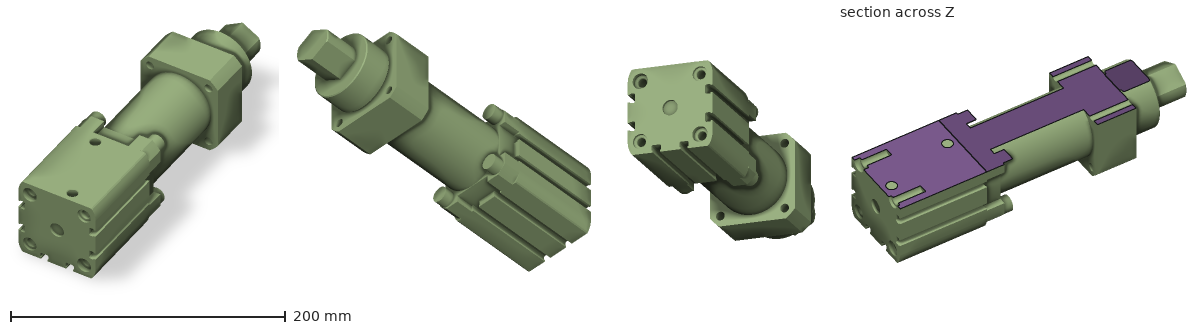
import cadquery as cq
import math


LENGTH = 258.0
SIDE = 66.0
HALF_SIDE = SIDE / 2
BOLT_OFFSET = 25.0

BLOCK_END = 75.0
REAR_FLANGE_END = 90.0
HEAD_END = 98.5
FRONT_FLANGE_START = 170.0
FRONT_FLANGE_END = 203.5
COLLAR_START = 204.5
COLLAR_END = 228.3

BLOCK_FLAT = 23.0
CORNER_RADIUS = 16.8
CORNER_X = 30.2
TOP_FLAT = 29.2
SLOT_OFFSET = 10.8
SLOT_MOUTH = 5.7
SLOT_WIDTH = 7.2
SLOT_LIP = 1.5
SLOT_DEPTH = 5.7
SLOT_CHAMFER = 0.8
TIE_OFFSET = 23.2
COUNTERBORE_RADIUS = 6.0
COUNTERBORE_DEPTH = 4.5
SPOTFACE_RADIUS = 5.7
SPOTFACE_DEPTH = 2.0
TIE_HOLE_RADIUS = 3.4
TIE_HOLE_CHAMFER = 0.5
TIE_HOLE_DEPTH = 25.8
END_RECESS_RADIUS = 6.0
END_RECESS_DEPTH = 2.3
PORT_X = 8.3
PORT_INSET = 8.3
PORT_RADIUS = 4.0
PORT_CHAMFER = 0.5
PORT_CHAMFER_ANGLE = 90.0
PORT_DEPTH = 10.3

TUBE_RADIUS = 27.0
FLANGE_CORNER_RADIUS = 42.0
LUG_INNER = 15.2
WAIST = 27.3
HEAD_RADIUS = 6.5
FLANGE_HOLE_RADIUS = 3.4

COLLAR_RADIUS = 26.8
COLLAR_CHAMFER = 0.8
NECK_RADIUS = 25.5
TIP_RADIUS = 16.0
TIP_FLAT_ANGLE = 30.0
TIP_APEX = 14.5
TIP_CHAMFER = 0.8


def section(start):
    """Workplane across the axis at Y = start: local x is -X, local y is Z, extrusion runs towards +Y."""
    plane = cq.Plane(origin=(0, start, 0), xDir=(-1, 0, 0), normal=(0, 1, 0))
    return cq.Workplane(plane)


def disc(radius, start, end):
    return section(start).circle(radius).extrude(end - start)


def corners(offset):
    return [(x, z) for x in (-offset, offset) for z in (-offset, offset)]


def block_outline():
    drop = math.sqrt(CORNER_RADIUS**2 - (CORNER_RADIUS - HALF_SIDE + CORNER_X) ** 2)
    quarter = (
        section(0)
        .lineTo(HALF_SIDE, 0)
        .lineTo(HALF_SIDE, BLOCK_FLAT)
        .radiusArc((CORNER_X, BLOCK_FLAT + drop), -CORNER_RADIUS)
        .lineTo(TOP_FLAT, HALF_SIDE)
        .lineTo(0, HALF_SIDE)
        .close()
        .extrude(BLOCK_END)
    )
    half = quarter.union(quarter.mirror("YZ"))
    return half.union(half.mirror("XY"))


def slot(angle, offset):
    """T-slot cut from the bottom face, turned about Y to another side."""
    mouth = section(0).center(offset, SLOT_LIP / 2 - HALF_SIDE).rect(SLOT_MOUTH, SLOT_LIP)
    wide_height = SLOT_DEPTH - SLOT_LIP
    wide_center = SLOT_LIP + wide_height / 2 - HALF_SIDE
    wide = section(0).center(offset, wide_center).rect(SLOT_WIDTH, wide_height).extrude(BLOCK_END)
    wide = wide.faces(">Z").edges("|Y").chamfer(SLOT_CHAMFER)
    tool = wide.union(mouth.extrude(BLOCK_END))
    return tool.rotate((0, 0, 0), (0, 1, 0), angle)


def tie_hole(x, z, seat_radius, seat_depth):
    """Blind hole with a chamfered mouth at the floor of a round seat."""
    seat = disc(seat_radius, 0, seat_depth)
    hole = disc(TIE_HOLE_RADIUS, 0, TIE_HOLE_DEPTH)
    mouth_radius = TIE_HOLE_RADIUS + TIE_HOLE_CHAMFER
    mouth = cq.Solid.makeCone(
        mouth_radius, TIE_HOLE_RADIUS, TIE_HOLE_CHAMFER, cq.Vector(0, seat_depth, 0), cq.Vector(0, 1, 0)
    )
    return seat.union(hole).union(cq.Workplane(mouth)).translate((x, 0, z))


def make_block():
    block = block_outline()
    for angle in (0, 90, -90):
        for offset in (-SLOT_OFFSET, SLOT_OFFSET):
            block = block.cut(slot(angle, offset))

    for side in (-TIE_OFFSET, TIE_OFFSET):
        block = block.cut(tie_hole(side, -side, COUNTERBORE_RADIUS, COUNTERBORE_DEPTH))
        block = block.cut(tie_hole(side, side, SPOTFACE_RADIUS, SPOTFACE_DEPTH))

    block = block.cut(disc(END_RECESS_RADIUS, 0, END_RECESS_DEPTH))
    ports = [(-PORT_X, BLOCK_END - PORT_INSET), (PORT_X, PORT_INSET)]
    return (
        block.faces(">Z")
        .workplane(origin=(0, 0, HALF_SIDE))
        .pushPoints(ports)
        .cskHole(2 * PORT_RADIUS, 2 * (PORT_RADIUS + PORT_CHAMFER), PORT_CHAMFER_ANGLE, PORT_DEPTH)
    )


def flange(start, end):
    plate = section(start).rect(SIDE, SIDE).extrude(end - start)
    return plate.intersect(disc(FLANGE_CORNER_RADIUS, start, end))


def make_housing():
    lug_width = HALF_SIDE - LUG_INNER
    lug_center = LUG_INNER + lug_width / 2
    rear_length = REAR_FLANGE_END - BLOCK_END
    lugs = section(BLOCK_END).pushPoints(corners(lug_center)).rect(lug_width, lug_width).extrude(rear_length)
    core = section(BLOCK_END).rect(2 * WAIST, 2 * WAIST).extrude(rear_length)
    rear = flange(BLOCK_END, REAR_FLANGE_END).intersect(core.union(lugs))

    bolt_points = corners(BOLT_OFFSET)
    heads = section(REAR_FLANGE_END).pushPoints(bolt_points).circle(HEAD_RADIUS)
    holes = section(FRONT_FLANGE_START).pushPoints(bolt_points).circle(FLANGE_HOLE_RADIUS)
    front = flange(FRONT_FLANGE_START, FRONT_FLANGE_END)
    front = front.cut(holes.extrude(FRONT_FLANGE_END - FRONT_FLANGE_START))

    tube = disc(TUBE_RADIUS, BLOCK_END, FRONT_FLANGE_END)
    return rear.union(tube).union(front).union(heads.extrude(HEAD_END - REAR_FLANGE_END))


def make_rod():
    neck = disc(NECK_RADIUS, FRONT_FLANGE_END, COLLAR_START)
    collar = disc(COLLAR_RADIUS, COLLAR_START, COLLAR_END).edges().chamfer(COLLAR_CHAMFER)
    tip_reach = TIP_APEX / math.tan(math.radians(TIP_FLAT_ANGLE))
    rhombus = [(tip_reach, 0), (0, TIP_APEX), (-tip_reach, 0), (0, -TIP_APEX)]
    tip = disc(TIP_RADIUS, COLLAR_END, LENGTH).faces(">Y").chamfer(TIP_CHAMFER)
    tip = tip.intersect(section(COLLAR_END).polyline(rhombus).close().extrude(LENGTH - COLLAR_END))
    return neck.union(collar).union(tip)


block = make_block()
housing = make_housing()
rod = make_rod()

result = cq.Compound.makeCompound([block.val(), housing.val(), rod.val()])